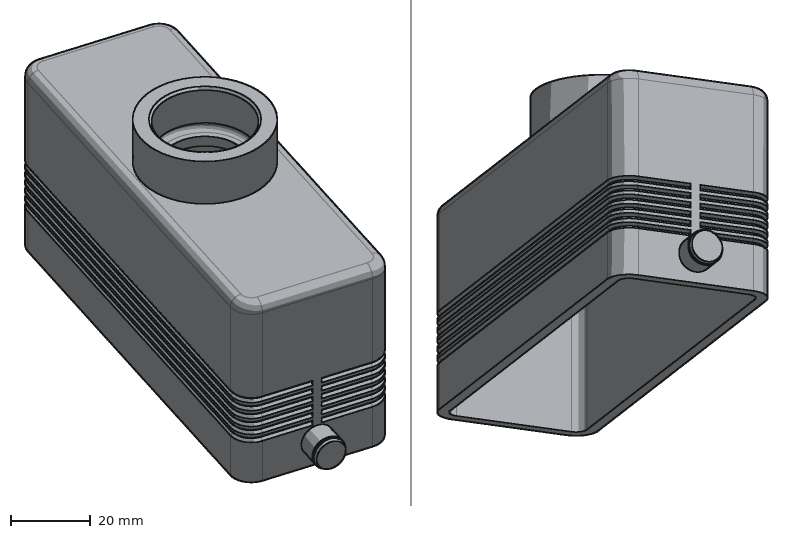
import cadquery as cq
import math

overall_length = 135.0
body_length = 120.2
body_width = 43.0
body_height = 55.0
corner_radius = 6.0
top_edge_radius = 3.0
wall_thickness = 3.0

entry_height = 13.1
entry_diameter = 36.2
thread_diameter = 28.1
thread_bore_diameter = 26.7
thread_depth = 10.8
relief_fillet = 1.5
passage_diameter = 21.6

groove_count = 6
groove_stack_height = 12.3
groove_pitch = groove_stack_height / (groove_count - 1)
groove_width = 1.5
groove_depth = groove_width / 2
lowest_groove_height = 13.1
rib_width = 2.5

pin_diameter = 9.0
pin_height = 7.4
pin_collar_length = 1.6
pin_undercut = 0.4
pin_tip_bevel = 0.4


def rounded_block(length, width, height, radius):
    """Block standing on Z = 0 with rounded vertical corners."""
    return cq.Workplane("XY").rect(length, width).extrude(height).edges("|Z").fillet(radius)


def hood_shell():
    """Hood with a rounded roof edge, open at the bottom."""
    outside = rounded_block(body_length, body_width, body_height, corner_radius)
    outside = outside.faces(">Z").edges().fillet(top_edge_radius)
    cavity = rounded_block(
        body_length - 2 * wall_thickness,
        body_width - 2 * wall_thickness,
        body_height - wall_thickness,
        corner_radius - wall_thickness,
    )
    return outside.cut(cavity)


def groove_ring(height):
    """V-shaped ring centred at the given height, pointing into the body."""
    half_width = groove_width / 2
    taper = math.degrees(math.atan(groove_depth / half_width))
    section = rounded_block(body_length, body_width, half_width, corner_radius)
    outline = section.faces("<Z").wires().val()
    lower_half = cq.Workplane("XY").add(outline).toPending().extrude(half_width, taper=taper)
    waist = lower_half.translate((0, 0, -half_width))
    waist = waist.union(waist.mirror("XY"))
    slab = cq.Workplane("XY").box(overall_length, overall_length, groove_width)
    return slab.cut(waist).translate((0, 0, height))


def grip_grooves():
    """Stack of grooves, interrupted by a flush upright rib on each short side."""
    rib_height = 2 * body_height
    ribs = cq.Workplane("XY").box(2 * overall_length, rib_width, rib_height)
    grooves = cq.Workplane("XY")
    for index in range(groove_count):
        ring = groove_ring(lowest_groove_height + index * groove_pitch)
        grooves = grooves.add(ring.cut(ribs))
    return grooves.combine()


def cable_entry_bore():
    """Threaded bore with a lead-in chamfer, a rounded relief and a passage through the roof."""
    rim = body_height + entry_height
    thread_radius = thread_diameter / 2
    bore_radius = thread_bore_diameter / 2
    passage_radius = passage_diameter / 2
    lead_in = thread_radius - bore_radius
    arc_offset = relief_fillet * math.sqrt(0.5)
    arc_centre_x = thread_radius - relief_fillet
    arc_centre_z = body_height + relief_fillet
    profile = (
        cq.Workplane("XZ")
        .moveTo(0, rim)
        .lineTo(thread_radius, rim)
        .lineTo(bore_radius, rim - lead_in)
        .lineTo(bore_radius, rim - thread_depth)
        .lineTo(thread_radius, rim - thread_depth)
        .lineTo(thread_radius, arc_centre_z)
        .threePointArc(
            (arc_centre_x + arc_offset, arc_centre_z - arc_offset),
            (arc_centre_x, body_height),
        )
        .lineTo(passage_radius, body_height)
        .lineTo(passage_radius, body_height - wall_thickness)
        .lineTo(0, body_height - wall_thickness)
        .close()
    )
    return profile.revolve(360, (0, 0, 0), (0, 1, 0))


def locking_pin():
    """Pin on the +X side, ending in an undercut collar that is bevelled both ways."""
    tip = overall_length / 2
    root = body_length / 2 - wall_thickness / 2
    radius = pin_diameter / 2
    collar_start = tip - pin_collar_length
    collar_ridge = tip - pin_collar_length / 2
    profile = (
        cq.Workplane("XZ")
        .moveTo(root, 0)
        .lineTo(root, radius)
        .lineTo(collar_start, radius)
        .lineTo(collar_start, radius - pin_undercut)
        .lineTo(collar_ridge, radius)
        .lineTo(tip, radius - pin_tip_bevel)
        .lineTo(tip, 0)
        .close()
    )
    pin = profile.revolve(360, (0, 0, 0), (1, 0, 0))
    return pin.translate((0, 0, pin_height))


hood = hood_shell().cut(grip_grooves())
entry = (
    cq.Workplane("XY")
    .workplane(offset=body_height - wall_thickness)
    .circle(entry_diameter / 2)
    .extrude(wall_thickness + entry_height)
)
pin = locking_pin()
result = hood.union(entry).cut(cable_entry_bore()).union(pin).union(pin.mirror("YZ"))